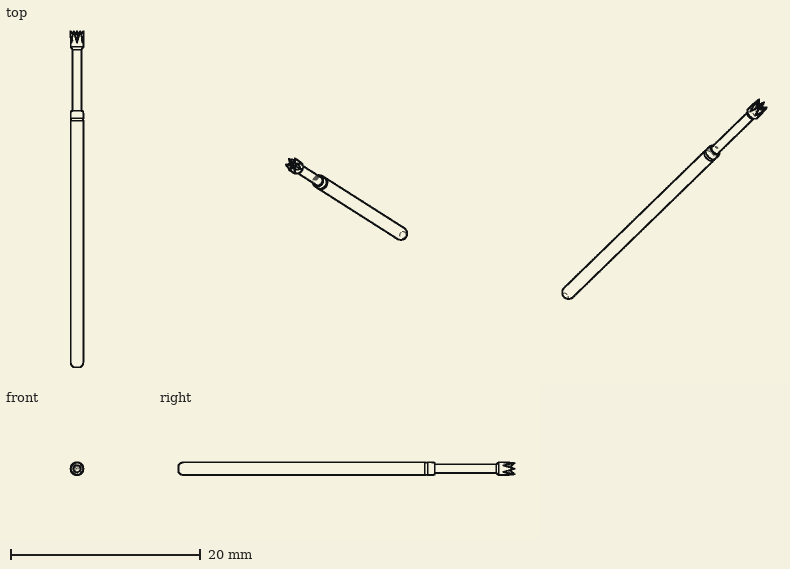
import cadquery as cq
import math


outer_diameter = 1.37
barrel_length = 27.0
tail_length = 0.56
tail_flat_diameter = 0.72
mouth_length = 0.3
mouth_diameter = 1.2
crimp_start = 0.75
crimp_length = 0.3
crimp_depth = 0.04

plunger_diameter = 0.95
plunger_length = 8.4

head_length = 1.95
head_cone_length = 0.3
tooth_count = 6
tooth_gap_depth = 1.2
recess_depth = 0.34
recess_floor_diameter = 0.8
spike_base_diameter = 0.2

outer_radius = outer_diameter / 2
plunger_radius = plunger_diameter / 2
tip_y = plunger_length


def tangent_arc_point(length, drop):
    """Distance in from the tangent end, and radial drop, halfway along an arc
    that leaves the cylinder wall tangentially."""
    arc_radius = (length**2 + drop**2) / (2 * drop)
    half_angle = math.asin(length / arc_radius) / 2
    return arc_radius * math.sin(half_angle), arc_radius * (1 - math.cos(half_angle))


def make_barrel():
    """Round barrel with a domed tail, a shallow rolled crimp and a rounded mouth."""
    tail_radius = tail_flat_diameter / 2
    mouth_radius = mouth_diameter / 2
    tail_mid, tail_mid_drop = tangent_arc_point(tail_length, outer_radius - tail_radius)
    mouth_mid, mouth_mid_drop = tangent_arc_point(mouth_length, outer_radius - mouth_radius)
    tail_start = -barrel_length + tail_length
    crimp_end = crimp_start + crimp_length
    crimp_middle = crimp_start + crimp_length / 2

    profile = (
        cq.Workplane("XY")
        .moveTo(0, -barrel_length)
        .lineTo(tail_radius, -barrel_length)
        .threePointArc((outer_radius - tail_mid_drop, tail_start - tail_mid), (outer_radius, tail_start))
        .lineTo(outer_radius, -crimp_end)
        .threePointArc((outer_radius - crimp_depth, -crimp_middle), (outer_radius, -crimp_start))
        .lineTo(outer_radius, -mouth_length)
        .threePointArc((outer_radius - mouth_mid_drop, -mouth_length + mouth_mid), (mouth_radius, 0))
        .lineTo(0, 0)
        .close()
    )
    return profile.revolve(360, (0, 0), (0, 1))


def make_plunger():
    """Plunger shaft and head, with a ring-shaped recess around a central spike."""
    head_start = tip_y - head_length
    recess_floor = tip_y - recess_depth
    profile = (
        cq.Workplane("XY")
        .lineTo(plunger_radius, 0)
        .lineTo(plunger_radius, head_start)
        .lineTo(outer_radius, head_start + head_cone_length)
        .lineTo(outer_radius, tip_y)
        .lineTo(recess_floor_diameter / 2, recess_floor)
        .lineTo(spike_base_diameter / 2, recess_floor)
        .lineTo(0, tip_y)
        .close()
    )
    return profile.revolve(360, (0, 0), (0, 1))


def make_tooth_gap_cutter():
    """Wedge with its apex at the spike tip that widens and deepens outward along +Z."""
    reach = 2 * outer_radius
    half_width = reach * math.tan(math.pi / tooth_count)
    apex = cq.Vector(0, tip_y, 0)
    left = cq.Vector(-half_width, tip_y, reach)
    right = cq.Vector(half_width, tip_y, reach)
    bottom = cq.Vector(0, tip_y - tooth_gap_depth * reach / outer_radius, reach)
    triangles = [(apex, left, right), (apex, left, bottom), (apex, right, bottom), (left, right, bottom)]
    faces = [cq.Face.makeFromWires(cq.Wire.makePolygon(corners, close=True)) for corners in triangles]
    return cq.Workplane(cq.Solid.makeSolid(cq.Shell.makeShell(faces)))


def cut_teeth(plunger):
    """Cut evenly spaced gaps, leaving a tooth on each side of the head along X."""
    cutter = make_tooth_gap_cutter()
    for index in range(tooth_count):
        angle = index * 360 / tooth_count
        plunger = plunger.cut(cutter.rotate((0, 0, 0), (0, 1, 0), angle))
    return plunger


result = make_barrel().union(cut_teeth(make_plunger()))